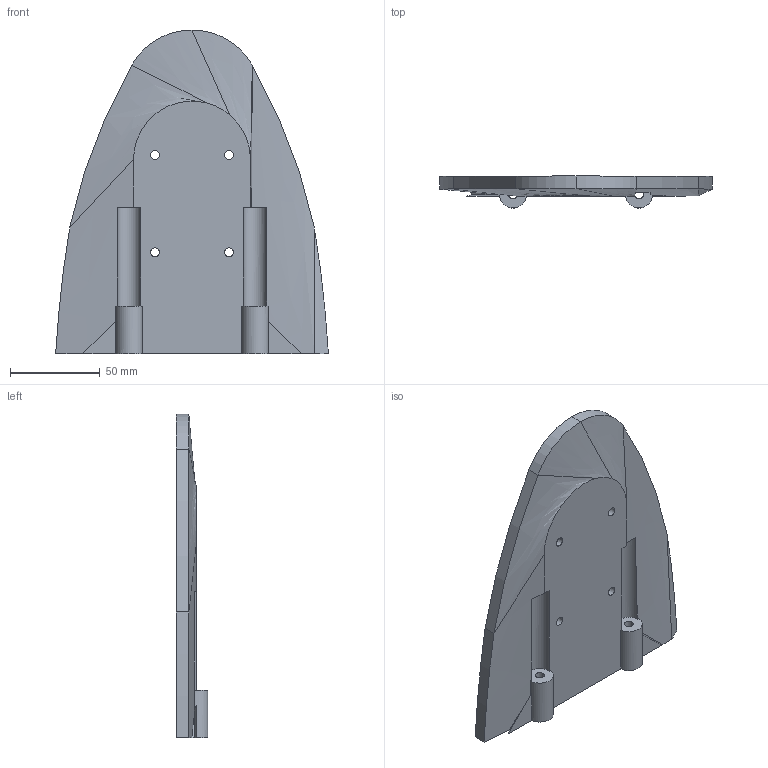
import cadquery as cq
import math

HALF_WIDTH = 151.46 / 2
HEIGHT = 180.0
PLATE_THICKNESS = 7.0
PAD_DEPTH = 11.0

WAIST_X, WAIST_Z = 68.0, 70.0
SHOULDER_X, SHOULDER_Z = 33.5, 160.5
LOWER_BULGE = 0.9
UPPER_BULGE = 3.7

PAD_RADIUS = 32.5
PAD_SPRING_Z = 108.0
SHOULDER_RULING_ANGLE = 75.0
CROWN_RULING_ANGLE = 50.0
CORNER_DEPTH = 10.75

GUSSET_LEG = 28.2
LIP_START_DEPTH = 10.0
LIP_OVERHANG = 2.7

SLEEVE_X = 35.0
SLEEVE_DEPTH = 10.0
SLEEVE_DIAMETER = 15.0
SLEEVE_HEIGHT = 26.5
BORE_DIAMETER = 5.0
RELIEF_DIAMETER = 13.0
RELIEF_TOP_Z = 81.5

HOLE_DIAMETER = 5.0
HOLE_SPACING_X = 41.0
HOLE_SPACING_Z = 54.0
LOWER_HOLE_Z = 56.5


def outline_point(x, z):
    """Point on the front edge of the plate."""
    return cq.Vector(x, -PLATE_THICKNESS, z)


def pad_point(x, z):
    """Point on the raised pad."""
    return cq.Vector(x, -PAD_DEPTH, z)


def pad_arc_point(angle):
    """Point on the pad's round top; the angle is measured from +X toward +Z."""
    radians = math.radians(angle)
    x = PAD_RADIUS * math.cos(radians)
    z = PAD_SPRING_Z + PAD_RADIUS * math.sin(radians)
    return pad_point(x, z)


def line(start, end):
    return cq.Edge.makeLine(start, end)


def bulged_arc(start, end, bulge):
    """Arc bowed to the left of the direction of travel, seen from -Y."""
    chord = end - start
    left = cq.Vector(-chord.z, 0, chord.x).normalized()
    middle = (start + end) * 0.5 + left * bulge
    return cq.Edge.makeThreePointArc(start, middle, end)


def pad_arc(start_angle, end_angle):
    middle = pad_arc_point((start_angle + end_angle) / 2)
    return cq.Edge.makeThreePointArc(pad_arc_point(start_angle), middle, pad_arc_point(end_angle))


def ruled(first, second):
    return cq.Face.makeRuledSurface(first, second)


def flat_face(edges):
    return cq.Face.makeFromWires(cq.Wire.assembleEdges(edges))


def make_body():
    """Plate plus the tapered skin that rises from its outline to the pad."""
    foot_left = outline_point(-HALF_WIDTH, 0)
    waist_left = outline_point(-WAIST_X, WAIST_Z)
    shoulder_left = outline_point(-SHOULDER_X, SHOULDER_Z)
    crown = outline_point(0, HEIGHT)
    shoulder_right = outline_point(SHOULDER_X, SHOULDER_Z)
    waist_right = outline_point(WAIST_X, WAIST_Z)
    foot_right = outline_point(HALF_WIDTH, 0)

    pad_foot_left = pad_point(-PAD_RADIUS, 0)
    pad_spring_left = pad_point(-PAD_RADIUS, PAD_SPRING_Z)
    pad_spring_right = pad_point(PAD_RADIUS, PAD_SPRING_Z)
    pad_foot_right = pad_point(PAD_RADIUS, 0)
    corner = cq.Vector(WAIST_X, -CORNER_DEPTH, 0)

    lower_left = bulged_arc(foot_left, waist_left, LOWER_BULGE)
    upper_left = bulged_arc(waist_left, shoulder_left, UPPER_BULGE)
    rise = HEIGHT - SHOULDER_Z
    top_radius = (SHOULDER_X**2 + rise**2) / (2 * rise)
    half_chord = math.hypot(SHOULDER_X, rise) / 2
    top_bulge = top_radius - math.sqrt(top_radius**2 - half_chord**2)
    top_left = bulged_arc(shoulder_left, crown, top_bulge)
    top_right = bulged_arc(crown, shoulder_right, top_bulge)
    upper_right = bulged_arc(shoulder_right, waist_right, UPPER_BULGE)
    lower_right = bulged_arc(waist_right, foot_right, LOWER_BULGE)

    pad_left = line(pad_foot_left, pad_spring_left)
    arc_left = pad_arc(180, SHOULDER_RULING_ANGLE)
    arc_crown = pad_arc(SHOULDER_RULING_ANGLE, CROWN_RULING_ANGLE)
    arc_right = pad_arc(CROWN_RULING_ANGLE, 0)
    pad_right = line(pad_spring_right, pad_foot_right)
    corner_edge = line(pad_foot_right, corner)
    corner_ridge = line(waist_right, corner)
    right_ridge = line(shoulder_right, pad_spring_right)

    skin = [
        ruled(lower_left, pad_left),
        ruled(upper_left, arc_left),
        ruled(top_left, arc_crown),
        ruled(top_right, arc_right),
        flat_face([right_ridge, pad_right, line(pad_foot_right, shoulder_right)]),
        ruled(upper_right, corner_edge),
        ruled(lower_right, corner_ridge),
    ]
    pad_face = flat_face(
        [pad_left, arc_left, arc_crown, arc_right, pad_right, line(pad_foot_right, pad_foot_left)]
    )

    outline = [lower_left, upper_left, top_left, top_right, upper_right, lower_right]
    to_back = cq.Vector(0, PLATE_THICKNESS, 0)
    back_outline = [edge.translate(to_back) for edge in outline]
    walls = [ruled(front, back) for front, back in zip(outline, back_outline)]
    back_left = foot_left + to_back
    back_right = foot_right + to_back
    back_face = flat_face(back_outline + [line(back_right, back_left)])
    bottom_face = cq.Face.makeFromWires(
        cq.Wire.makePolygon(
            [back_left, foot_left, pad_foot_left, pad_foot_right, corner, foot_right, back_right],
            close=True,
        )
    )

    shell = cq.Shell.makeShell(skin + walls + [pad_face, back_face, bottom_face])
    return cq.Workplane(cq.Solid.makeSolid(shell))


def make_gusset(side):
    """Triangle that widens the foot of the pad and flares to a lip; side is -1 or +1."""
    inner = side * PAD_RADIUS
    root_leg = GUSSET_LEG - LIP_OVERHANG

    def section(plane, leg):
        return plane.polyline([(0, 0), (inner + side * leg, 0), (inner, leg), (0, leg)]).close()

    root = section(cq.Workplane("XZ"), root_leg).extrude(LIP_START_DEPTH)
    lip_back = section(cq.Workplane("XZ").workplane(offset=LIP_START_DEPTH), root_leg)
    lip_front = section(lip_back.workplane(offset=PAD_DEPTH - LIP_START_DEPTH), GUSSET_LEG)
    lip = lip_front.loft(ruled=True)
    return root.union(lip)


def upright_cylinder(x, diameter, bottom, top):
    return (
        cq.Workplane("XY", origin=(x, -SLEEVE_DEPTH, bottom))
        .circle(diameter / 2)
        .extrude(top - bottom)
    )


def add_hinge(body, x):
    """Bored sleeve at the foot of the plate with a round relief groove above it."""
    relief = upright_cylinder(x, RELIEF_DIAMETER, SLEEVE_HEIGHT, RELIEF_TOP_Z)
    sleeve = upright_cylinder(x, SLEEVE_DIAMETER, 0, SLEEVE_HEIGHT)
    bore = upright_cylinder(x, BORE_DIAMETER, 0, SLEEVE_HEIGHT)
    return body.cut(relief).union(sleeve).cut(bore)


def make_mounting_holes():
    return (
        cq.Workplane("XZ", origin=(0, 0, LOWER_HOLE_Z + HOLE_SPACING_Z / 2))
        .rarray(HOLE_SPACING_X, HOLE_SPACING_Z, 2, 2)
        .circle(HOLE_DIAMETER / 2)
        .extrude(PAD_DEPTH)
    )


SIDES = (-1, 1)

result = make_body()
for side in SIDES:
    result = result.union(make_gusset(side))
for side in SIDES:
    result = add_hinge(result, side * SLEEVE_X)
result = result.cut(make_mounting_holes())